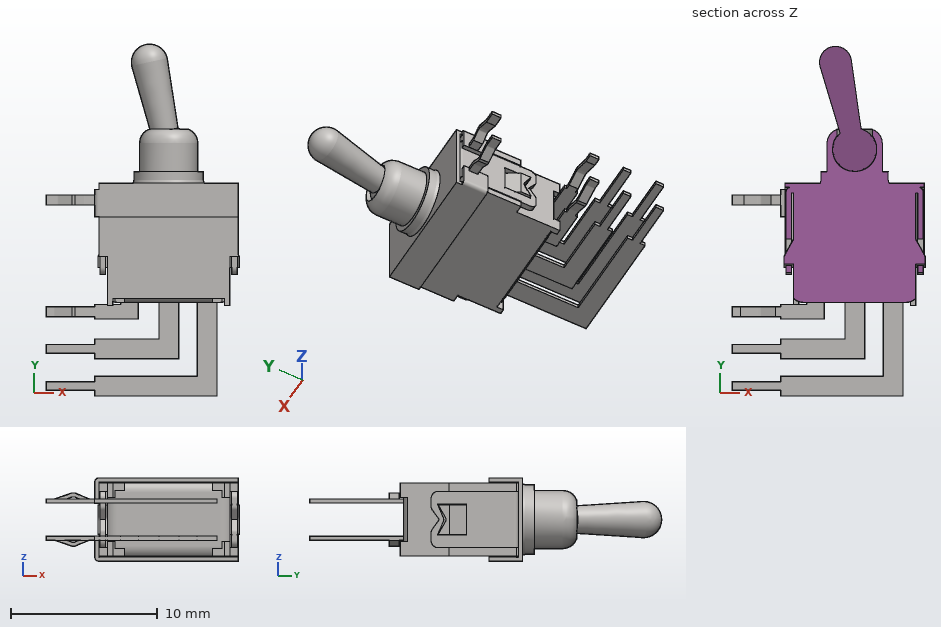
import cadquery as cq
import math


bushing_diameter = 4.0
bushing_round_start = 2.75
bushing_round_radius = 1.0
bushing_bore_diameter = 2.65
collar_diameter = 4.75
collar_foot_diameter = 4.88
collar_foot_height = 0.2
collar_height = 0.8

pivot_y = 2.3
ball_diameter = 3.2
tip_radius = 1.25
lever_length = 6.08
neck_radius = 0.87
lever_tilt = 12.4

sheet = 0.3
bracket_height = 5.7
bracket_half_height = bracket_height / 2
bracket_left = -5.05
bracket_right = 4.75
flange_end_y = -2.3
flap_start_y = -0.43
flap_inner_z = 1.1

strap_sheet = 0.38
strap_half_length = 4.7
strap_half_width = 1.92
strap_bend_radius = 0.3
strap_top_y = -sheet
leg_end_y = -6.25
leg_corner_radius = 0.48
leg_notch_half_width = 0.77
leg_notch_y = -5.7
leg_notch_round = 0.38
window_top_y = -3.82
window_corner_y = -5.82
window_apex_y = -5.36
window_half_width = 1.05
v_tip_radius = 0.3

housing_top_y = strap_top_y - strap_sheet
housing_floor_y = -7.86
housing_half_length = 4.18
housing_half_height = 2.5
shoulder_half_length = 4.75
shoulder_end_y = -5.03
skirt_end_y = -8.37
skirt_inner_x = 3.8
skirt_inner_z = 1.5

hook_half_width = 1.0
hook_face_x = 4.83
hook_ramp_end_y = -5.0
hook_apex_y = -5.2
hook_corner_y = -5.77

seal_height = 0.3
seal_round_width = 0.67
seal_corner_x = 3.65
seal_notch_x = 3.0
seal_notch_z = 1.97

pin_end_x = -8.37
pin_shoulder_x = bracket_left
bracket_to_lead = 7.62
pin_pitch = bracket_to_lead / 3
row_z = pin_pitch / 2
bracket_pin_y = -1.15
first_lead_y = bracket_pin_y - bracket_to_lead
wide_pin_width = 0.7
narrow_pin_width = 0.6
crimp_rise = 0.4
crimp_peak_x = (-6.61, -6.4)
crimp_bend_radius = 0.2
bracket_crimp_x = (-7.55, -5.72)
lead_crimp_x = (-7.8, -5.4)
lead_band = 1.37
first_lead_band = 1.0
first_lead_leg = (-3.27, -2.07)
lead_leg_right_x = (0.7, 3.32)


def box(x_range, y_range, z_range):
    """Box between pairs of limits, given in any order."""
    sizes = [abs(b - a) for a, b in (x_range, y_range, z_range)]
    middle = [(a + b) / 2 for a, b in (x_range, y_range, z_range)]
    return cq.Workplane("XY").box(*sizes).translate(tuple(middle))


def mirrored_z(shape):
    """The shape together with its mirror image below Z = 0."""
    return shape.union(shape.mirror("XY"))


def mirrored_x(shape):
    """The shape together with its mirror image across X = 0."""
    return shape.union(shape.mirror("YZ"))


def make_bushing():
    """Collar with a tapered foot, then the round-ended cylinder, down to the housing."""
    radius = bushing_diameter / 2
    bore_radius = bushing_bore_diameter / 2
    arc_center_x = radius - bushing_round_radius
    rim_angle = math.acos((bore_radius - arc_center_x) / bushing_round_radius)

    def on_round(angle):
        return (
            arc_center_x + bushing_round_radius * math.cos(angle),
            bushing_round_start + bushing_round_radius * math.sin(angle),
        )

    return (
        cq.Workplane("XY")
        .moveTo(0, housing_top_y)
        .lineTo(radius, housing_top_y)
        .lineTo(radius, 0)
        .lineTo(collar_foot_diameter / 2, 0)
        .lineTo(collar_diameter / 2, collar_foot_height)
        .lineTo(collar_diameter / 2, collar_height)
        .lineTo(radius, collar_height)
        .lineTo(radius, bushing_round_start)
        .threePointArc(on_round(rim_angle / 2), on_round(rim_angle))
        .lineTo(0, on_round(rim_angle)[1])
        .close()
        .revolve(360, (0, 0, 0), (0, 1, 0))
    )


def make_socket():
    """Spherical seat for the lever ball, opening through the bore at the bushing rim."""
    seat = cq.Workplane("XY").sphere(ball_diameter / 2).translate((0, pivot_y, 0))
    bore = (
        cq.Workplane("XZ", origin=(0, pivot_y, 0))
        .circle(bushing_bore_diameter / 2)
        .extrude(-ball_diameter)
    )
    return seat.union(bore)


def make_bracket():
    """Plate across the bushing, with a flange above and below bent into two end flaps."""
    plate = box(
        (-shoulder_half_length, bracket_right), (-sheet, 0), (-bracket_half_height, bracket_half_height)
    )
    wrap = (
        box((bracket_left, bracket_right), (flap_start_y, flange_end_y), (flap_inner_z, bracket_half_height))
        .edges("<X and >Z")
        .fillet(sheet)
        .cut(
            box(
                (bracket_left + sheet, bracket_right),
                (0, flange_end_y),
                (0, bracket_half_height - sheet),
            )
        )
    )
    flange_root = box(
        (-shoulder_half_length, bracket_right),
        (0, flap_start_y),
        (bracket_half_height - sheet, bracket_half_height),
    )
    return plate.union(mirrored_z(wrap.union(flange_root)))


def v_tip(apex_y):
    """Selector for the edge along X at the tip of a V centered on Z = 0."""
    margin = v_tip_radius / 2
    reach = shoulder_half_length
    return cq.selectors.BoxSelector((-reach, apex_y - margin, -margin), (reach, apex_y + margin, margin))


def leg_block():
    """Solid between both leg faces: round lower corners and a V notch in the lower end."""
    margin = leg_notch_round
    notch_corners = cq.selectors.BoxSelector(
        (-strap_half_length, leg_end_y - margin, -leg_notch_half_width - margin),
        (strap_half_length, leg_end_y + margin, leg_notch_half_width + margin),
    )
    return (
        cq.Workplane("YZ")
        .polyline(
            [
                (strap_top_y, strap_half_width),
                (leg_end_y, strap_half_width),
                (leg_end_y, leg_notch_half_width),
                (leg_notch_y, 0),
                (leg_end_y, -leg_notch_half_width),
                (leg_end_y, -strap_half_width),
                (strap_top_y, -strap_half_width),
            ]
        )
        .close()
        .extrude(strap_half_length, both=True)
        .edges("|X and <Y and (>Z or <Z)")
        .fillet(leg_corner_radius)
        .edges("|X")
        .edges(notch_corners)
        .fillet(leg_notch_round)
    )


def make_strap():
    """U-shaped strap whose two legs have a window with a V-shaped lower edge."""
    inner_half_length = strap_half_length - strap_sheet
    strap = (
        leg_block()
        .edges("|Z and >Y")
        .fillet(strap_bend_radius)
        .cut(
            box(
                (-inner_half_length, inner_half_length),
                (housing_top_y, leg_end_y),
                (-strap_half_width, strap_half_width),
            )
        )
    )
    window = (
        cq.Workplane("YZ")
        .polyline(
            [
                (window_top_y, window_half_width),
                (window_corner_y, window_half_width),
                (window_apex_y, 0),
                (window_corner_y, -window_half_width),
                (window_top_y, -window_half_width),
            ]
        )
        .close()
        .extrude(strap_half_length, both=True)
        .edges("|X")
        .edges(v_tip(window_apex_y))
        .fillet(v_tip_radius)
    )
    return strap.cut(window)


def make_hook():
    """Ramped snap hook on the +X side, with a V-shaped lower end."""
    ramp = (
        cq.Workplane("XY")
        .polyline(
            [
                (housing_half_length, window_top_y),
                (hook_face_x, hook_ramp_end_y),
                (hook_face_x, hook_corner_y),
                (housing_half_length, hook_corner_y),
            ]
        )
        .close()
        .extrude(hook_half_width, both=True)
    )
    v_cut = (
        cq.Workplane("YZ")
        .polyline(
            [
                (hook_apex_y, 0),
                (hook_corner_y, hook_half_width),
                (hook_corner_y, -hook_half_width),
            ]
        )
        .close()
        .extrude(hook_face_x)
        .edges("|X")
        .edges(v_tip(hook_apex_y))
        .fillet(v_tip_radius)
    )
    return ramp.cut(v_cut)


def make_housing():
    """Case block with shoulders beside the legs, snap hooks and corner skirts."""
    case = box(
        (-housing_half_length, housing_half_length),
        (housing_top_y, housing_floor_y),
        (-housing_half_height, housing_half_height),
    )
    plate_rest = box(
        (-housing_half_length, housing_half_length),
        (strap_top_y, housing_top_y),
        (strap_half_width, housing_half_height),
    )
    shoulder = box(
        (-shoulder_half_length, shoulder_half_length),
        (flap_start_y, shoulder_end_y),
        (strap_half_width, housing_half_height),
    )
    skirt = box(
        (skirt_inner_x, housing_half_length),
        (housing_floor_y, skirt_end_y),
        (skirt_inner_z, housing_half_height),
    )
    return (
        case.union(mirrored_z(plate_rest))
        .union(mirrored_z(shoulder))
        .union(mirrored_x(make_hook()))
        .union(mirrored_x(mirrored_z(skirt)))
    )


def seal_dome(plane, half_width, half_depth):
    """Slab on the housing floor with both long edges rounded tangent to its flat face."""
    flat_half = half_width - seal_round_width
    radius = (seal_round_width**2 + seal_height**2) / (2 * seal_height)
    half_angle = math.asin(seal_round_width / radius) / 2
    flat_y = housing_floor_y - seal_height
    middle = (flat_half + radius * math.sin(half_angle), flat_y + radius * (1 - math.cos(half_angle)))
    return (
        plane.moveTo(half_width, housing_floor_y)
        .threePointArc(middle, (flat_half, flat_y))
        .lineTo(-flat_half, flat_y)
        .threePointArc((-middle[0], middle[1]), (-half_width, housing_floor_y))
        .close()
        .extrude(half_depth, both=True)
    )


def make_seal():
    """Seal domed along both directions and notched at its four corners."""
    along_x = seal_dome(cq.Workplane("XY"), housing_half_length, housing_half_height)
    side_plane = cq.Workplane(cq.Plane((0, 0, 0), xDir=(0, 0, 1), normal=(-1, 0, 0)))
    along_z = seal_dome(side_plane, housing_half_height, housing_half_length)
    depth = (housing_floor_y, skirt_end_y)
    notch = box((seal_notch_x, housing_half_length), depth, (seal_notch_z, housing_half_height))
    skirt_room = box(
        (seal_corner_x, housing_half_length), depth, (skirt_inner_z, housing_half_height)
    )
    corners = mirrored_x(mirrored_z(notch.union(skirt_room)))
    return along_x.intersect(along_z).cut(corners)


def crimped_pin(center_y, crimp_x):
    """Flat pin along X in the upper row, with one outward kink that grips the board."""
    low = row_z - sheet / 2
    high = low + sheet
    kink = [
        (pin_end_x, low),
        (crimp_x[0], low),
        (crimp_peak_x[0], low + crimp_rise),
        (crimp_peak_x[1], low + crimp_rise),
        (crimp_x[1], low),
        (pin_shoulder_x, low),
    ]
    raised = [(x, z + sheet) for x, z in reversed(kink)]
    half_width = wide_pin_width / 2
    margin = crimp_bend_radius
    bend_zone = cq.selectors.BoxSelector(
        (crimp_x[0] - margin, center_y - half_width, high - sheet / 2),
        (crimp_x[1] + margin, center_y + half_width, high + sheet / 2),
    )
    return (
        cq.Workplane("XZ", origin=(0, center_y, 0))
        .polyline(kink + raised)
        .close()
        .extrude(half_width, both=True)
        .edges("|Y")
        .edges(bend_zone)
        .fillet(crimp_bend_radius)
    )


def make_bracket_pin():
    """Kinked pin standing on the bracket flap."""
    root = box(
        (pin_shoulder_x, pin_shoulder_x + sheet),
        (bracket_pin_y - wide_pin_width / 2, bracket_pin_y + wide_pin_width / 2),
        (flap_inner_z, row_z + sheet / 2),
    )
    return crimped_pin(bracket_pin_y, bracket_crimp_x).union(root)


def lead_strips(center_y, band, leg_x):
    """L-shaped flat lead: a band along X and a leg up into the seal."""
    thickness = (row_z - sheet / 2, row_z + sheet / 2)
    low_y = center_y - band / 2
    across = box((pin_shoulder_x, leg_x[1]), (low_y, low_y + band), thickness)
    leg = box(leg_x, (low_y, housing_floor_y), thickness)
    return across.union(leg)


def make_leads():
    """One row of three leads; only the lead nearest the housing is kinked."""
    leads = lead_strips(first_lead_y, first_lead_band, first_lead_leg)
    leads = leads.union(crimped_pin(first_lead_y, lead_crimp_x))
    for index, right_x in enumerate(lead_leg_right_x, start=1):
        center_y = first_lead_y - index * pin_pitch
        pin = box(
            (pin_end_x, pin_shoulder_x),
            (center_y - narrow_pin_width / 2, center_y + narrow_pin_width / 2),
            (row_z - sheet / 2, row_z + sheet / 2),
        )
        strips = lead_strips(center_y, lead_band, (right_x - lead_band, right_x))
        leads = leads.union(strips).union(pin)
    return leads


def make_base():
    """Everything that stays still: housing, sheet parts, bushing, pins and leads."""
    return (
        make_housing()
        .union(make_seal())
        .union(make_strap())
        .union(make_bracket())
        .union(make_bushing())
        .union(mirrored_z(make_bracket_pin()))
        .union(mirrored_z(make_leads()))
        .cut(make_socket())
    )


def make_lever():
    """Tapered handle with a round tip and a pivot ball, tilted towards -X."""
    ball_radius = ball_diameter / 2
    handle = (
        cq.Workplane("XY")
        .lineTo(neck_radius, 0)
        .lineTo(tip_radius, lever_length)
        .threePointArc(
            (tip_radius * math.sin(math.pi / 4), lever_length + tip_radius * math.cos(math.pi / 4)),
            (0, lever_length + tip_radius),
        )
        .close()
        .revolve(360, (0, 0, 0), (0, 1, 0))
    )
    lever = handle.union(cq.Workplane("XY").sphere(ball_radius))
    return lever.rotate((0, 0, 0), (0, 0, 1), lever_tilt).translate((0, pivot_y, 0))


base = make_base()
lever = make_lever()

result = cq.Compound.makeCompound([*base.solids().vals(), *lever.solids().vals()])